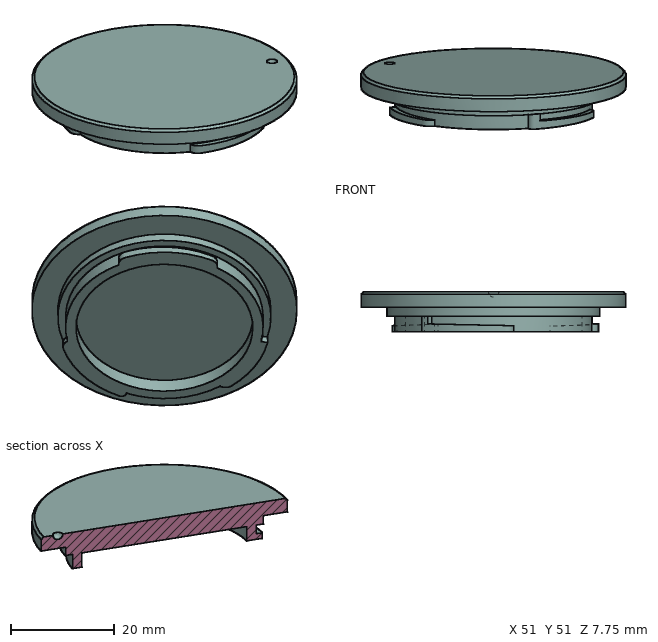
import cadquery as cq
import math

FULL_TURN = 360

cap_diameter = 51.0
cap_thickness = 3.0
cap_edge_chamfer = 0.5

step_diameter = 41.0
step_thickness = 1.75

ring_outer_diameter = 38.0
ring_bore_diameter = 34.0
ring_height = 3.0

bayonet_tabs = [(-4.5, 55.2, True), (124.3, 168.6, False), (231.3, 282.0, False)]
tab_radius = 20.25
tab_tip_height = 1.2
tab_rise_per_degree = 0.007
tab_corner_radius = 1.83

stop_flat_angle = bayonet_tabs[-1][0]
stop_corner_angle = 228.4
stop_corner_radius = 1.0

dimple_radius = 1.0
dimple_offset = 22.0

step_bottom = ring_height
cap_bottom = step_bottom + step_thickness
cap_top = cap_bottom + cap_thickness
ring_radius = ring_outer_diameter / 2
bore_radius = ring_bore_diameter / 2
lug_root_radius = (ring_radius + bore_radius) / 2


def polar(radius, angle):
    """Point at a radius and at an angle in degrees from +X."""
    return (radius * math.cos(math.radians(angle)), radius * math.sin(math.radians(angle)))


def disc(diameter, bottom, thickness):
    return cq.Workplane("XY").workplane(offset=bottom).circle(diameter / 2).extrude(thickness)


def corner_span(corner_radius):
    """Angle, about the part axis, from a rounded corner's outermost point to where it meets the ring."""
    centre_radius = tab_radius - corner_radius
    cosine = (ring_radius**2 + centre_radius**2 - corner_radius**2) / (2 * ring_radius * centre_radius)
    return math.degrees(math.acos(cosine))


def ring_lug(flat_angle, corner_angle, corner_radius, height):
    """Block standing out from the ring, with a radial face at one end and a rounded corner at the other."""
    turn = math.copysign(1, corner_angle - flat_angle)
    foot_angle = corner_angle + turn * corner_span(corner_radius)
    corner_centre = polar(tab_radius - corner_radius, corner_angle)
    foot = polar(ring_radius, foot_angle)
    foot_direction = math.degrees(math.atan2(foot[1] - corner_centre[1], foot[0] - corner_centre[0]))
    half_sweep = (foot_direction - corner_angle) % (turn * FULL_TURN) / 2
    to_corner_middle = polar(corner_radius, corner_angle + half_sweep)
    corner_middle = (corner_centre[0] + to_corner_middle[0], corner_centre[1] + to_corner_middle[1])
    return (
        cq.Workplane("XY")
        .moveTo(*polar(lug_root_radius, flat_angle))
        .lineTo(*polar(tab_radius, flat_angle))
        .threePointArc(polar(tab_radius, (flat_angle + corner_angle) / 2), polar(tab_radius, corner_angle))
        .threePointArc(corner_middle, foot)
        .lineTo(*polar(lug_root_radius, foot_angle))
        .threePointArc(
            polar(lug_root_radius, (flat_angle + foot_angle) / 2),
            polar(lug_root_radius, flat_angle),
        )
        .close()
        .extrude(height)
    )


def make_tab(start_angle, tip_angle, rounded_start):
    """Tab with a thick end, a rounded tip and a flat top sloping down towards the tip."""
    corner_setback = corner_span(tab_corner_radius)
    middle_angle = (start_angle + tip_angle) / 2
    start_height = tab_tip_height + tab_rise_per_degree * (tip_angle - start_angle)
    tip_corner_angle = tip_angle - corner_setback
    if rounded_start:
        start_corner_angle = start_angle + corner_setback
        blank = ring_lug(middle_angle, tip_corner_angle, tab_corner_radius, start_height)
        blank = blank.union(ring_lug(middle_angle, start_corner_angle, tab_corner_radius, start_height))
    else:
        blank = ring_lug(start_angle, tip_corner_angle, tab_corner_radius, start_height)

    half_chord = tab_radius * math.sin(math.radians((tip_angle - start_angle) / 2))
    across = polar(1, middle_angle + 90)
    outwards = polar(1, middle_angle)
    side_plane = cq.Plane(origin=(0, 0, 0), xDir=(*across, 0), normal=(*outwards, 0))
    side_profile = [
        (-half_chord, 0),
        (half_chord, 0),
        (half_chord, tab_tip_height),
        (-half_chord, start_height),
    ]
    envelope = cq.Workplane(side_plane).polyline(side_profile).close().extrude(cap_diameter / 2)
    return blank.intersect(envelope)


def make_stop():
    return ring_lug(stop_flat_angle, stop_corner_angle, stop_corner_radius, ring_height)


def make_dimple():
    return cq.Workplane("XY").sphere(dimple_radius).translate((0, dimple_offset, cap_top))


cap = disc(cap_diameter, cap_bottom, cap_thickness).faces(">Z").edges().chamfer(cap_edge_chamfer)
step = disc(step_diameter, step_bottom, step_thickness)
ring = disc(ring_outer_diameter, 0, ring_height).cut(disc(ring_bore_diameter, 0, ring_height))

result = cap.union(step).union(ring).union(make_stop())
for thick_end_angle, tip_end_angle, thick_end_rounded in bayonet_tabs:
    result = result.union(make_tab(thick_end_angle, tip_end_angle, thick_end_rounded))
result = result.cut(make_dimple())